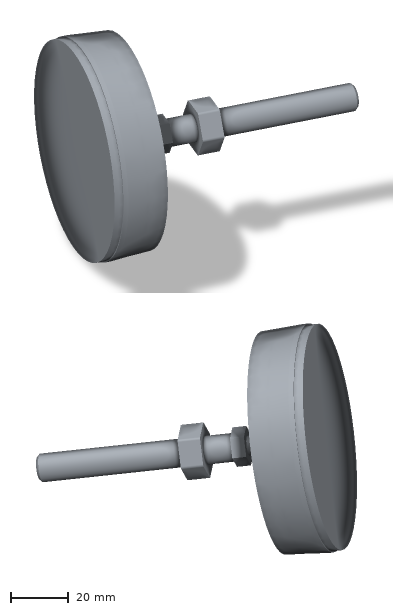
import cadquery as cq
import math

total_length = 104.0

face_diameter = 79.0
rim_diameter = 80.0
back_diameter = 78.0
rim_start = 3.1
rim_end = 5.0
pad_height = 20.0

stem_diameter = 7.0
rod_diameter = 10.0
rod_chamfer = 1.0

wrench_hex_flats = 12.0
wrench_hex_start = 29.0
wrench_hex_height = 5.0

nut_flats = 17.1
nut_start = 44.0
nut_height = 8.0
nut_corner_radius = 1.0


def axial_plane(distance):
    """Plane across the axis, facing +Y, with its local X along the X axis."""
    return cq.Workplane(cq.Plane(origin=(0, distance, 0), xDir=(1, 0, 0), normal=(0, 1, 0)))


def cylinder(diameter, start, end):
    return axial_plane(start).circle(diameter / 2).extrude(end - start)


def hexagon(flats, start, height):
    """Hexagonal prism with corners on the X axis and flats facing up and down."""
    corner_diameter = flats / math.cos(math.pi / 6)
    return axial_plane(start).polygon(6, corner_diameter).extrude(height)


def pad():
    """Stepped disc with a raised rim, tapering toward its back."""
    return (
        cq.Workplane("XY")
        .moveTo(0, 0)
        .lineTo(face_diameter / 2, 0)
        .lineTo(face_diameter / 2, rim_start)
        .lineTo(rim_diameter / 2, rim_start)
        .lineTo(rim_diameter / 2, rim_end)
        .lineTo(back_diameter / 2, pad_height)
        .lineTo(0, pad_height)
        .close()
        .revolve(360, (0, 0, 0), (0, 1, 0))
    )


wrench_hex_end = wrench_hex_start + wrench_hex_height
stem = cylinder(stem_diameter, pad_height, wrench_hex_start)
wrench_hex = hexagon(wrench_hex_flats, wrench_hex_start, wrench_hex_height)
rod = cylinder(rod_diameter, wrench_hex_end, total_length).faces(">Y").chamfer(rod_chamfer)
lock_nut = hexagon(nut_flats, nut_start, nut_height).edges("|Y").fillet(nut_corner_radius)

result = pad().union(stem).union(wrench_hex).union(rod).union(lock_nut)